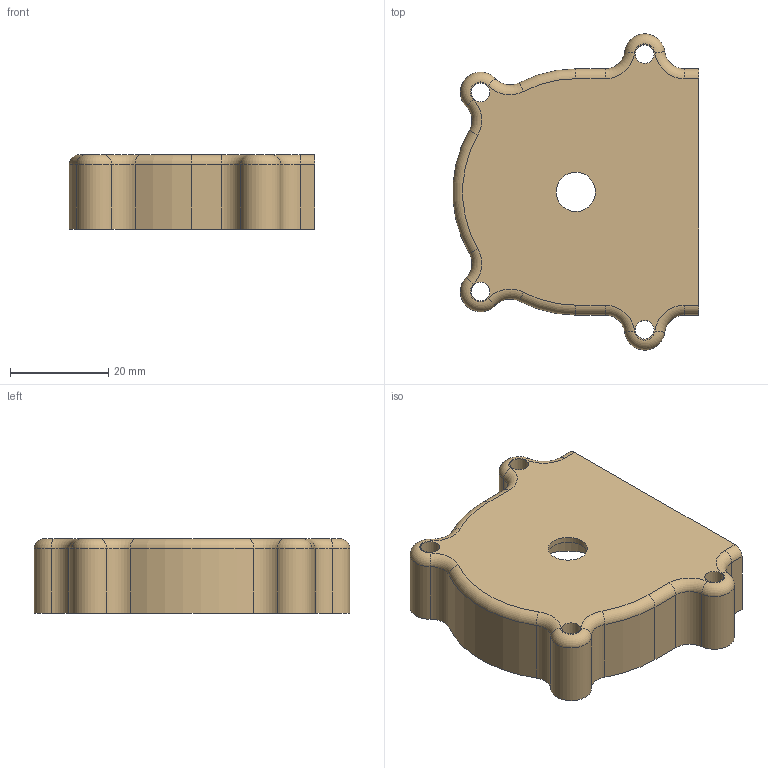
import cadquery as cq
import math

height = 15.1
body_radius = 25.0
flat_end_x = 25.0
top_edge_radius = 2.0

screw_diameter = 3.8
boss_radius = 4.1
blend_radius = 4.0
side_boss = (14.0, 28.0)
round_boss_distance = 28.0
round_boss_angle = math.radians(133.7)

shaft_diameter = 8.0
shaft_lip = 1.2
bearing_diameter = 16.0
bearing_depth = 5.0
chamber_diameter = 44.0

round_boss = (
    round_boss_distance * math.cos(round_boss_angle),
    round_boss_distance * math.sin(round_boss_angle),
)


def polar(radius, angle):
    return (radius * math.cos(angle), radius * math.sin(angle))


def toward(start, end, distance):
    """Point at a given distance from start in the direction of end."""
    ratio = distance / math.dist(start, end)
    return (start[0] + ratio * (end[0] - start[0]), start[1] + ratio * (end[1] - start[1]))


def blend_arc(center, boss, body_tangent):
    """Middle point and boss tangent point of the concave arc from the body to a boss."""
    boss_tangent = toward(center, boss, blend_radius)
    chord_middle = (
        (body_tangent[0] + boss_tangent[0]) / 2,
        (body_tangent[1] + boss_tangent[1]) / 2,
    )
    return toward(center, chord_middle, blend_radius), boss_tangent


def half_outline():
    """Closed outline of the +Y half of the body with its two bosses."""
    blend_y = body_radius + blend_radius
    center_gap = boss_radius + blend_radius
    blend_offset = math.sqrt(center_gap**2 - (blend_y - side_boss[1]) ** 2)
    near_start = (side_boss[0] + blend_offset, body_radius)
    far_end = (side_boss[0] - blend_offset, body_radius)
    near_middle, near_boss = blend_arc((near_start[0], blend_y), side_boss, near_start)
    far_middle, far_boss = blend_arc((far_end[0], blend_y), side_boss, far_end)
    side_tip = (side_boss[0], side_boss[1] + boss_radius)

    blend_distance = body_radius + blend_radius
    blend_spread = math.acos(
        (round_boss_distance**2 + blend_distance**2 - center_gap**2)
        / (2 * round_boss_distance * blend_distance)
    )
    first_angle = round_boss_angle - blend_spread
    last_angle = round_boss_angle + blend_spread
    first_tangent = polar(body_radius, first_angle)
    last_tangent = polar(body_radius, last_angle)
    first_middle, first_boss = blend_arc(polar(blend_distance, first_angle), round_boss, first_tangent)
    last_middle, last_boss = blend_arc(polar(blend_distance, last_angle), round_boss, last_tangent)
    round_tip = polar(round_boss_distance + boss_radius, round_boss_angle)

    return (
        cq.Workplane("XY")
        .moveTo(flat_end_x, 0)
        .lineTo(flat_end_x, body_radius)
        .lineTo(*near_start)
        .threePointArc(near_middle, near_boss)
        .threePointArc(side_tip, far_boss)
        .threePointArc(far_middle, far_end)
        .lineTo(0, body_radius)
        .threePointArc(polar(body_radius, (math.pi / 2 + first_angle) / 2), first_tangent)
        .threePointArc(first_middle, first_boss)
        .threePointArc(round_tip, last_boss)
        .threePointArc(last_middle, last_tangent)
        .threePointArc(polar(body_radius, (last_angle + math.pi) / 2), (-body_radius, 0))
        .close()
    )


def housing_body():
    """Solid body with its top rim rounded everywhere except along the flat +X end."""
    half = half_outline().extrude(height)
    body = half.union(half.mirror("XZ")).clean()
    return body.faces(">Z").edges("not >X").fillet(top_edge_radius)


def bore(diameter, bottom, top):
    """Round cutter on the Z axis between two heights."""
    return cq.Workplane("XY").workplane(offset=bottom).circle(diameter / 2).extrude(top - bottom)


def cut_shaft_bore(body):
    """Shaft hole through the top lip, bearing seat below it, then the open chamber."""
    seat_top = height - shaft_lip
    seat_bottom = seat_top - bearing_depth
    body = body.cut(bore(shaft_diameter, seat_top, height))
    body = body.cut(bore(bearing_diameter, seat_bottom, seat_top))
    return body.cut(bore(chamber_diameter, 0, seat_bottom))


def cut_screw_holes(body):
    """Through holes in the four bosses."""
    centers = []
    for x, y in (side_boss, round_boss):
        centers += [(x, y), (x, -y)]
    holes = cq.Workplane("XY").pushPoints(centers).circle(screw_diameter / 2).extrude(height)
    return body.cut(holes)


result = cut_screw_holes(cut_shaft_bore(housing_body()))